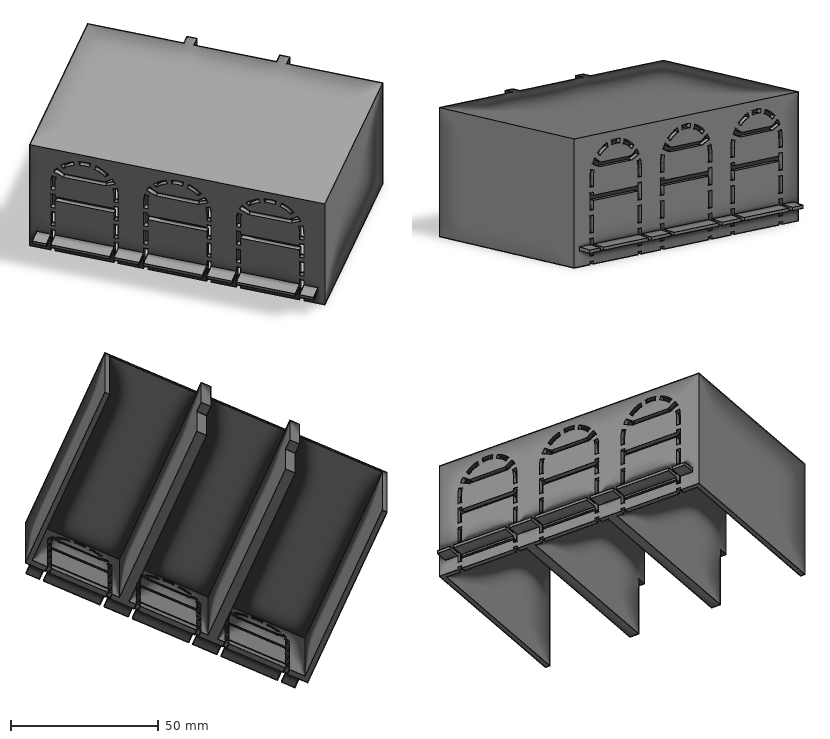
import cadquery as cq
import math

BODY_WIDTH = 105.0
BODY_DEPTH = 66.5
BODY_HEIGHT = 45.0
WALL = 1.8

PARTITION_THICKNESS = 2 * WALL
TAB_REACH = 3.6
TAB_HEIGHT = BODY_HEIGHT / 2

LEDGE_WIDTH = 100.0
LEDGE_REACH = 5.0
LEDGE_BOTTOM = 5.6
LEDGE_TOP_AT_WALL = 7.05
LEDGE_TOP_AT_EDGE = 6.7

DOOR_COUNT = 3
DOOR_PITCH = 33.0
SLOT_WIDTH = 1.5
ARCH_INNER_RADIUS = 10.5
ARCH_OUTER_RADIUS = ARCH_INNER_RADIUS + SLOT_WIDTH
ARCH_CENTRE_Z = 30.0

BRIDGE_HEIGHT = 2.0
BRIDGE_PITCH = 8.0
BRIDGE_COUNT = 4
FIRST_BRIDGE_BOTTOM = 1.0

UPRIGHT_ARCH_END = 15.0
SHOULDER_START = 25.0
SHOULDER_END = 35.0
FLANK_START = 45.0
FLANK_END = 70.0
CROWN_START = 80.0

RAIL_BOTTOM = 33.5
MIDDLE_SLOT_BOTTOM = 22.2
MIDDLE_SLOT_HEIGHT = 1.8
LOW_SLOT_BOTTOM = 4.1
LOW_SLOT_HEIGHT = 0.7

CUT_CLEARANCE = 1.0
CUT_START = -LEDGE_REACH - CUT_CLEARANCE
CUT_LENGTH = WALL + LEDGE_REACH + 2 * CUT_CLEARANCE


def door_plane():
    """XZ plane ahead of the ledge, with its normal pointing forward (-Y)."""
    return cq.Workplane("XZ", origin=(0, CUT_START, 0))


def box_slot(x_min, x_max, z_min, z_max):
    return (
        door_plane()
        .center((x_min + x_max) / 2, (z_min + z_max) / 2)
        .rect(x_max - x_min, z_max - z_min)
        .extrude(-CUT_LENGTH)
    )


def arch_point(radius, angle):
    turn = math.radians(angle)
    return radius * math.cos(turn), ARCH_CENTRE_Z + radius * math.sin(turn)


def arch_slot(start, end):
    """Slot following the arch between two angles."""
    middle = (start + end) / 2
    return (
        door_plane()
        .moveTo(*arch_point(ARCH_INNER_RADIUS, start))
        .lineTo(*arch_point(ARCH_OUTER_RADIUS, start))
        .threePointArc(arch_point(ARCH_OUTER_RADIUS, middle), arch_point(ARCH_OUTER_RADIUS, end))
        .lineTo(*arch_point(ARCH_INNER_RADIUS, end))
        .threePointArc(arch_point(ARCH_INNER_RADIUS, middle), arch_point(ARCH_INNER_RADIUS, start))
        .close()
        .extrude(-CUT_LENGTH)
    )


def radial_reach(angle, z):
    """X distance at which a radial line of the arch reaches height z."""
    return (z - ARCH_CENTRE_Z) / math.tan(math.radians(angle))


def rail_slot():
    """Cross slot within the arch, with both ends turned up along radial lines to meet it."""
    rail_top = RAIL_BOTTOM + SLOT_WIDTH
    lower_half_length = radial_reach(SHOULDER_START, RAIL_BOTTOM)
    upper_half_length = radial_reach(SHOULDER_END, rail_top)
    shoulder_middle = (SHOULDER_START + SHOULDER_END) / 2
    return (
        door_plane()
        .moveTo(-lower_half_length, RAIL_BOTTOM)
        .lineTo(lower_half_length, RAIL_BOTTOM)
        .lineTo(*arch_point(ARCH_OUTER_RADIUS, SHOULDER_START))
        .threePointArc(
            arch_point(ARCH_OUTER_RADIUS, shoulder_middle),
            arch_point(ARCH_OUTER_RADIUS, SHOULDER_END),
        )
        .lineTo(upper_half_length, rail_top)
        .lineTo(-upper_half_length, rail_top)
        .lineTo(*arch_point(ARCH_OUTER_RADIUS, 180 - SHOULDER_END))
        .threePointArc(
            arch_point(ARCH_OUTER_RADIUS, 180 - shoulder_middle),
            arch_point(ARCH_OUTER_RADIUS, 180 - SHOULDER_START),
        )
        .close()
        .extrude(-CUT_LENGTH)
    )


def side_slots():
    """Upright and arch slots on the +X side of a door."""
    slots = arch_slot(0, UPRIGHT_ARCH_END).union(arch_slot(FLANK_START, FLANK_END))
    slot_bottom = 0.0
    for index in range(BRIDGE_COUNT):
        bridge_bottom = FIRST_BRIDGE_BOTTOM + index * BRIDGE_PITCH
        slots = slots.union(box_slot(ARCH_INNER_RADIUS, ARCH_OUTER_RADIUS, slot_bottom, bridge_bottom))
        slot_bottom = bridge_bottom + BRIDGE_HEIGHT
    return slots.union(box_slot(ARCH_INNER_RADIUS, ARCH_OUTER_RADIUS, slot_bottom, ARCH_CENTRE_Z))


def door_slots():
    """All the slots of one door, centred on X = 0."""
    right_side = side_slots()
    slots = right_side.union(right_side.mirror("YZ"))
    slots = slots.union(arch_slot(CROWN_START, 180 - CROWN_START))
    slots = slots.union(rail_slot())
    for bottom, height in ((MIDDLE_SLOT_BOTTOM, MIDDLE_SLOT_HEIGHT), (LOW_SLOT_BOTTOM, LOW_SLOT_HEIGHT)):
        slots = slots.union(box_slot(-ARCH_INNER_RADIUS, ARCH_INNER_RADIUS, bottom, bottom + height))
    return slots


def grounded_box(width, depth, height):
    """Box centred on X, running back from Y = 0 and up from Z = 0."""
    return cq.Workplane("XY").box(width, depth, height, centered=(True, False, False))


def body():
    """Front wall, two side walls and roof."""
    outside = grounded_box(BODY_WIDTH, BODY_DEPTH, BODY_HEIGHT)
    inside = grounded_box(BODY_WIDTH - 2 * WALL, BODY_DEPTH, BODY_HEIGHT - WALL)
    return outside.cut(inside.translate((0, WALL, 0)))


def partition(x):
    """Wall from front to back, with its tab on the upper half of the back edge."""
    panel = grounded_box(PARTITION_THICKNESS, BODY_DEPTH, BODY_HEIGHT)
    tab = grounded_box(PARTITION_THICKNESS, TAB_REACH, TAB_HEIGHT)
    tab = tab.translate((0, BODY_DEPTH, BODY_HEIGHT - TAB_HEIGHT))
    return panel.union(tab).translate((x, 0, 0))


def ledge():
    profile = [
        (0, LEDGE_BOTTOM),
        (-LEDGE_REACH, LEDGE_BOTTOM),
        (-LEDGE_REACH, LEDGE_TOP_AT_EDGE),
        (0, LEDGE_TOP_AT_WALL),
    ]
    return cq.Workplane("YZ").polyline(profile).close().extrude(LEDGE_WIDTH / 2, both=True)


first_door_x = -DOOR_PITCH * (DOOR_COUNT - 1) / 2
one_door = door_slots()

result = body().union(ledge())
for index in range(DOOR_COUNT - 1):
    result = result.union(partition(first_door_x + (index + 0.5) * DOOR_PITCH))
for index in range(DOOR_COUNT):
    result = result.cut(one_door.translate((first_door_x + index * DOOR_PITCH, 0, 0)))